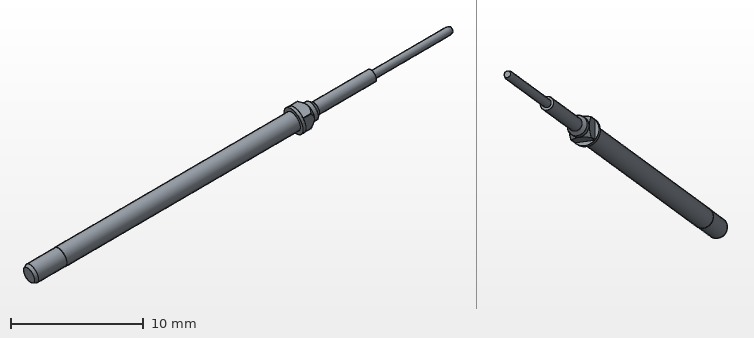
import cadquery as cq

length = 40.6
thick_end = -length / 2
slim_end = length / 2

barrel_dia = 1.65
collar_dia = 1.62
end_cap_dia = 1.62
flange_dia = 2.3
sleeve_dia = 1.1
pin_dia = 0.7

end_cap_length = 3.0
barrel_length = 22.45
flange_thickness = 0.3
square_length = 1.1
collar_length = 0.35
shoulder_length = 0.32
sleeve_length = 5.5

cap_bevel = 0.3
cap_bevel_depth = 0.142
tip_bevel = 0.3
tip_bevel_depth = 0.1

square_side = 1.65

barrel_start = thick_end + end_cap_length
flange_start = barrel_start + barrel_length
square_start = flange_start + flange_thickness
collar_start = square_start + square_length
shoulder_start = collar_start + collar_length
sleeve_start = shoulder_start + shoulder_length
pin_start = sleeve_start + sleeve_length


def revolve_section(start, end, start_dia, end_dia):
    """Cylinder or cone around the Y axis between two stations."""
    profile = [(0, start), (start_dia / 2, start), (end_dia / 2, end), (0, end)]
    return cq.Workplane("XY").polyline(profile).close().revolve(360, (0, 0), (0, 1))


def cylinder(start, end, diameter):
    return revolve_section(start, end, diameter, diameter)


def end_cap():
    bevel_end = thick_end + cap_bevel
    bevel = revolve_section(thick_end, bevel_end, end_cap_dia - 2 * cap_bevel_depth, end_cap_dia)
    return bevel.union(cylinder(bevel_end, barrel_start, end_cap_dia))


def wrench_square():
    """Square block, corners kept within the flange and trimmed by a 45 degree cone at the collar."""
    block = cq.Workplane("XY").box(square_side, square_length, square_side)
    block = block.translate((0, square_start + square_length / 2, 0))
    cone_base_dia = collar_dia + 2 * square_length
    block = block.intersect(cylinder(square_start, collar_start, flange_dia))
    return block.intersect(revolve_section(square_start, collar_start, cone_base_dia, collar_dia))


def slim_pin():
    bevel_start = slim_end - tip_bevel
    bevel = revolve_section(bevel_start, slim_end, pin_dia, pin_dia - 2 * tip_bevel_depth)
    return cylinder(pin_start, bevel_start, pin_dia).union(bevel)


result = (
    end_cap()
    .union(cylinder(barrel_start, flange_start, barrel_dia))
    .union(cylinder(flange_start, square_start, flange_dia))
    .union(wrench_square())
    .union(cylinder(collar_start, shoulder_start, collar_dia))
    .union(revolve_section(shoulder_start, sleeve_start, collar_dia, sleeve_dia))
    .union(cylinder(sleeve_start, pin_start, sleeve_dia))
    .union(slim_pin())
)